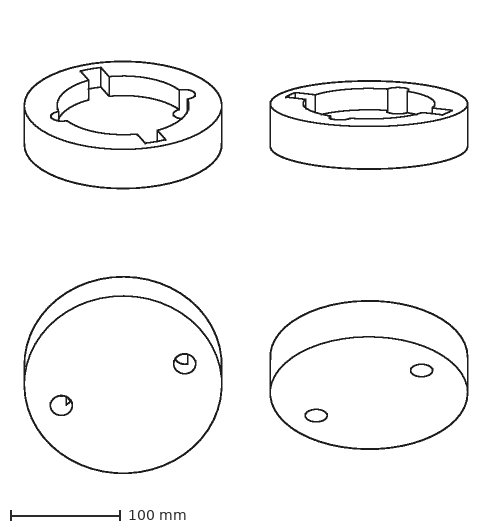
import cadquery as cq

disc_diameter = 180.0
disc_height = 40.0
pocket_diameter = 120.0
pocket_depth = 20.0
slot_span = 160.0
slot_width = 20.0
hole_diameter = 20.0


def make_disc():
    """Plain round body standing on the XY plane."""
    return cq.Workplane("XY").circle(disc_diameter / 2).extrude(disc_height)


def make_pocket():
    """Blind round recess with two opposite slots whose ends are arcs about the axis."""
    floor = cq.Workplane("XY").workplane(offset=disc_height - pocket_depth)
    recess = floor.circle(pocket_diameter / 2).extrude(pocket_depth)
    slot_bar = floor.rect(disc_diameter, slot_width).extrude(pocket_depth)
    slot_limit = floor.circle(slot_span / 2).extrude(pocket_depth)
    return recess.union(slot_bar.intersect(slot_limit))


def make_holes():
    """Two through holes centred on the recess wall."""
    pocket_radius = pocket_diameter / 2
    centres = [(0, pocket_radius), (0, -pocket_radius)]
    return cq.Workplane("XY").pushPoints(centres).circle(hole_diameter / 2).extrude(disc_height)


result = make_disc().cut(make_pocket()).cut(make_holes())